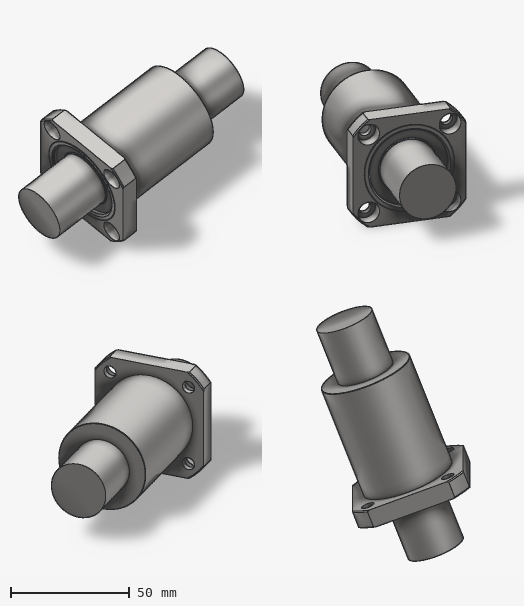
import cadquery as cq

shaft_diameter = 25.0
shaft_length = 108.0
shaft_overhang = 25.0

sleeve_diameter = 40.0
sleeve_length = shaft_length - 2 * shaft_overhang
sleeve_chamfer = 0.2

flange_width = 50.0
flange_corner_diameter = 62.0
flange_thickness = 8.0
flange_chamfer = 0.5

bolt_circle_diameter = 51.0
bolt_count = 4
first_bolt_angle = 45.0
bolt_diameter = 5.5
counterbore_diameter = 9.5
counterbore_depth = 5.4

recess_diameter = 34.8
recess_depth = 2.2
recess_chamfer = 0.8

collar_diameter = 26.2
collar_height = 0.5
collar_chamfer = 0.4


def cylinder(diameter, length, start_y):
    """Solid cylinder on the Y axis, running from start_y towards +Y."""
    plane = cq.Workplane("XZ", origin=(0, start_y, 0))
    return plane.circle(diameter / 2).extrude(-length)


def front_cone(front_diameter, chamfer):
    """45 degree cone on the front face, narrowing towards +Y (widening for a negative chamfer)."""
    front_radius = front_diameter / 2
    cone = cq.Solid.makeCone(
        front_radius,
        front_radius - chamfer,
        abs(chamfer),
        cq.Vector(0, 0, 0),
        cq.Vector(0, 1, 0),
    )
    return cq.Workplane("XZ").add(cone)


def make_sleeve():
    sleeve = cylinder(sleeve_diameter, sleeve_length, 0)
    return sleeve.faces(">Y").chamfer(sleeve_chamfer)


def make_flange():
    square = cq.Workplane("XZ").rect(flange_width, flange_width).extrude(-flange_thickness)
    disc = cylinder(flange_corner_diameter, flange_thickness, 0)
    disc = disc.faces("<Y or >Y").chamfer(flange_chamfer)
    return square.intersect(disc)


def make_bolt_holes():
    plane = cq.Workplane("XZ").polarArray(bolt_circle_diameter / 2, first_bolt_angle, 360, bolt_count)
    through = plane.circle(bolt_diameter / 2).extrude(-flange_thickness)
    counterbores = plane.circle(counterbore_diameter / 2).extrude(-counterbore_depth)
    return through.union(counterbores)


def make_recess():
    """Recess with a chamfered rim in the front face."""
    recess = cylinder(recess_diameter, recess_depth, 0)
    rim_diameter = recess_diameter + 2 * recess_chamfer
    return recess.union(front_cone(rim_diameter, recess_chamfer))


def make_seam_groove():
    """V groove in the front face, left by the chamfered sleeve edge inside the flange bore."""
    ring = cylinder(sleeve_diameter, sleeve_chamfer, 0)
    return ring.cut(front_cone(sleeve_diameter - 2 * sleeve_chamfer, -sleeve_chamfer))


def make_seal_collar():
    """Collar that stands on the recess floor around the shaft."""
    collar = cylinder(collar_diameter, collar_height, recess_depth - collar_height)
    return collar.faces("<Y").chamfer(collar_chamfer)


bearing = make_sleeve().union(make_flange())
bearing = bearing.cut(make_bolt_holes()).cut(make_recess()).cut(make_seam_groove())
shaft = cylinder(shaft_diameter, shaft_length, -shaft_overhang)
result = bearing.union(make_seal_collar()).union(shaft)